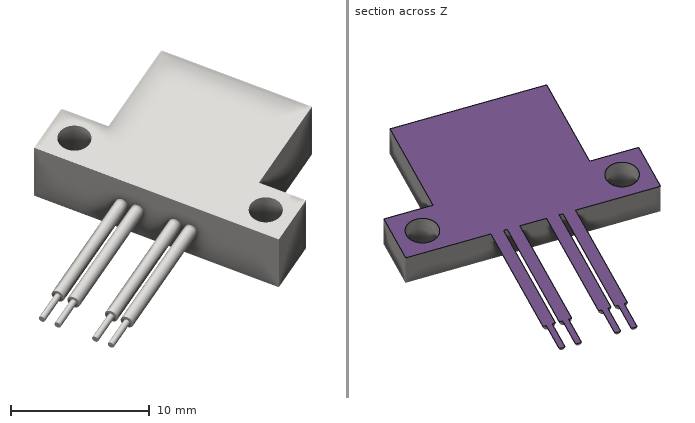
import cadquery as cq

flange_width = 19.8
block_width = 12.2
height = 5.08
body_depth = 12.7
flange_depth = 4.32

hole_diameter = 2.46
hole_spacing = 15.5

wire_positions = (-2.8, -1.52, 1.52, 2.8)
wire_height = 0.05
insulation_diameter = 1.02
core_diameter = 0.5
insulation_length = 10.15
stripped_length = 2.55


def make_body():
    """Block and flange, with the wire face at Y = 0 and mid-height at Z = 0."""
    block = cq.Workplane("XY").box(block_width, body_depth, height, centered=(True, False, True))
    flange = cq.Workplane("XY").box(flange_width, flange_depth, height, centered=(True, False, True))
    holes = (
        cq.Workplane("XY")
        .pushPoints([(side * hole_spacing / 2, flange_depth / 2) for side in (-1, 1)])
        .circle(hole_diameter / 2)
        .extrude(height, both=True)
    )
    return block.union(flange).cut(holes)


def make_wire(x):
    """Insulated lead with a bare core, running from the wire face toward -Y."""
    start = cq.Workplane("XZ").center(x, wire_height)
    insulation = start.circle(insulation_diameter / 2).extrude(insulation_length)
    core = start.circle(core_diameter / 2).extrude(insulation_length + stripped_length)
    return insulation.union(core)


result = make_body()
for wire_x in wire_positions:
    result = result.union(make_wire(wire_x))